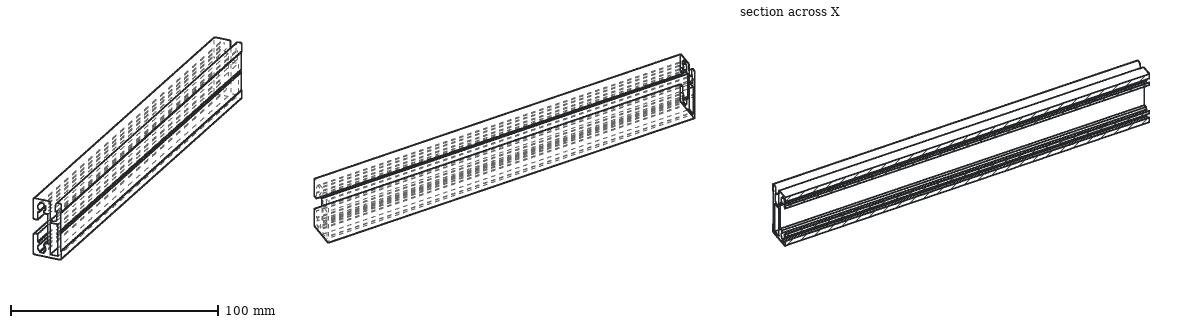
import cadquery as cq
import math

width = 15.2
height = 30.2
length = 200.0
corner_radius = 1.0

left = -width / 2
right = width / 2
top = height / 2
bottom = -height / 2

channel_gap = 7.5
lip_thickness = 2.5
lip_radius = 1.0
ledge_depth = 7.2
web_left = left + 7.8
web_right = left + 9.2
channel_left = left + lip_thickness
ledge_height = top - ledge_depth

port_diameter = 4.2
port_radius = port_diameter / 2
port_x = left + 4.5
port_depth = 4.2
port_z = top - port_depth
relief_depth = 1.8
neck_half_width = 1.0
mouth_half_width = 1.5

slot_floor = top - 10.2
slot_tip_left = left + 12.0
slot_right = left + 12.5
slot_fillet = 1.2
tip_length = 4.8
tip_radius = 1.5
slot_mouth_radius = 0.8

cavity_right = left + 13.2
cavity_top = top - 11.5
cavity_bottom = bottom + 1.8

recess_depth = 0.3
recess_half_height = top - tip_length
groove_depth = 0.5
groove_half_height = 0.8


def extrude_section(section):
    """Extrude a closed XZ section over the full length, centred on Y = 0."""
    return section.extrude(length / 2, both=True)


def bar(x_min, x_max, z_min, z_max):
    """Full-length rectangular bar between the given X and Z limits."""
    section = (
        cq.Workplane("XZ")
        .center((x_min + x_max) / 2, (z_min + z_max) / 2)
        .rect(x_max - x_min, z_max - z_min)
    )
    return extrude_section(section)


def polygon_bar(points):
    """Full-length bar with a polygonal section."""
    return extrude_section(cq.Workplane("XZ").polyline(points).close())


def screw_port(side):
    """Round port with a square relief and a flared neck; side is 1 for the upper, -1 for the lower."""
    bore = extrude_section(cq.Workplane("XZ").center(port_x, side * port_z).circle(port_radius))
    relief_z = top - relief_depth
    neck_z = port_z - math.sqrt(port_radius**2 - neck_half_width**2)
    neck = polygon_bar([
        (port_x - neck_half_width, side * relief_z),
        (port_x - neck_half_width, side * neck_z),
        (port_x - mouth_half_width, side * ledge_height),
        (port_x + mouth_half_width, side * ledge_height),
        (port_x + neck_half_width, side * neck_z),
        (port_x + neck_half_width, side * relief_z),
    ])
    return bore.union(neck)


def nearest_edge(x, z):
    """Selector for the lengthwise edge at the given X and Z."""
    return cq.selectors.NearestToPointSelector((x, 0, z))


body = bar(left, right, bottom, top)

body = body.cut(bar(channel_left, web_left, -ledge_height, ledge_height))
body = body.cut(bar(left, channel_left, -channel_gap / 2, channel_gap / 2))

slot = bar(web_right, slot_right, slot_floor, top)
slot = slot.edges(nearest_edge(slot_right, slot_floor)).fillet(slot_fillet)
body = body.cut(slot)
body = body.union(bar(slot_tip_left, right, top - tip_length, top))

body = body.cut(bar(web_right, cavity_right, cavity_bottom, cavity_top))

recess_face = right - recess_depth
body = body.cut(bar(recess_face, right, -recess_half_height, recess_half_height))
body = body.cut(polygon_bar([
    (recess_face, groove_half_height),
    (recess_face - groove_depth, 0),
    (recess_face, -groove_half_height),
]))

rounded_corners = [
    (left, top, corner_radius),
    (web_right, top, slot_mouth_radius),
    (slot_tip_left, top, tip_radius),
    (right, top, corner_radius),
    (left, bottom, corner_radius),
    (right, bottom, corner_radius),
    (left, channel_gap / 2, lip_radius),
    (left, -channel_gap / 2, lip_radius),
]
for x, z, radius in rounded_corners:
    body = body.edges(nearest_edge(x, z)).fillet(radius)

for side in (1, -1):
    body = body.cut(screw_port(side))

result = body